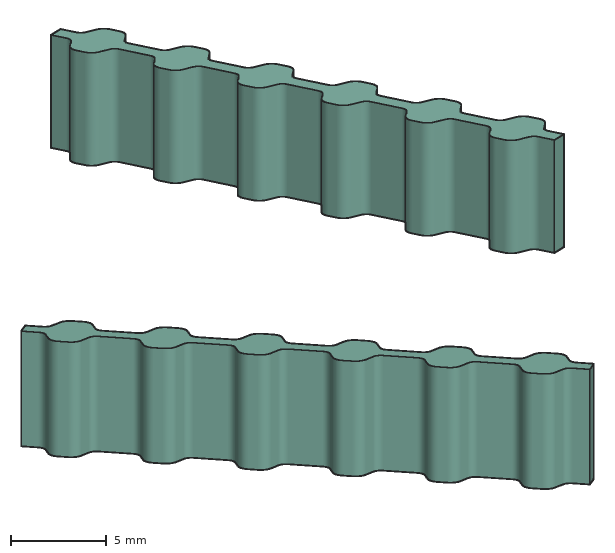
import cadquery as cq
import math

belt_length = 30.48
belt_width = 6.35
overall_thickness = 3.57
tooth_count = 6

tooth_height = 1.28
tooth_root_width = 2.6
flank_angle = 25.0
tip_radius = 0.67
root_radius = 0.5

pitch = belt_length / tooth_count
web_thickness = overall_thickness - 2 * tooth_height
tooth_tip_width = tooth_root_width - 2 * tooth_height * math.tan(math.radians(flank_angle))


def tooth_pair(center_x):
    """Sharp-cornered prism joining the teeth on both faces of the web at one pitch position."""
    half_tip = tooth_tip_width / 2
    half_root = tooth_root_width / 2
    half_web = web_thickness / 2
    half_overall = overall_thickness / 2
    return (
        cq.Workplane("XY")
        .center(center_x, 0)
        .moveTo(-half_tip, half_overall)
        .lineTo(half_tip, half_overall)
        .lineTo(half_root, half_web)
        .lineTo(half_root, -half_web)
        .lineTo(half_tip, -half_overall)
        .lineTo(-half_tip, -half_overall)
        .lineTo(-half_root, -half_web)
        .lineTo(-half_root, half_web)
        .close()
        .extrude(belt_width / 2, both=True)
    )


def edges_at_height(belt, distance):
    """Edges along Z that lie at the given distance either side of the belt's mid-plane,
    leaving out the square ends of the belt."""
    tolerance = 0.003
    return belt.edges("|Z").filter(
        lambda edge: abs(abs(edge.Center().y) - distance) < tolerance
        and abs(edge.Center().x) < belt_length / 2 - tolerance
    )


belt = cq.Workplane("XY").box(belt_length, web_thickness, belt_width)
for index in range(tooth_count):
    belt = belt.union(tooth_pair((index + 0.5) * pitch - belt_length / 2))

belt = edges_at_height(belt, web_thickness / 2).fillet(root_radius)
belt = edges_at_height(belt, overall_thickness / 2).fillet(tip_radius)

result = belt